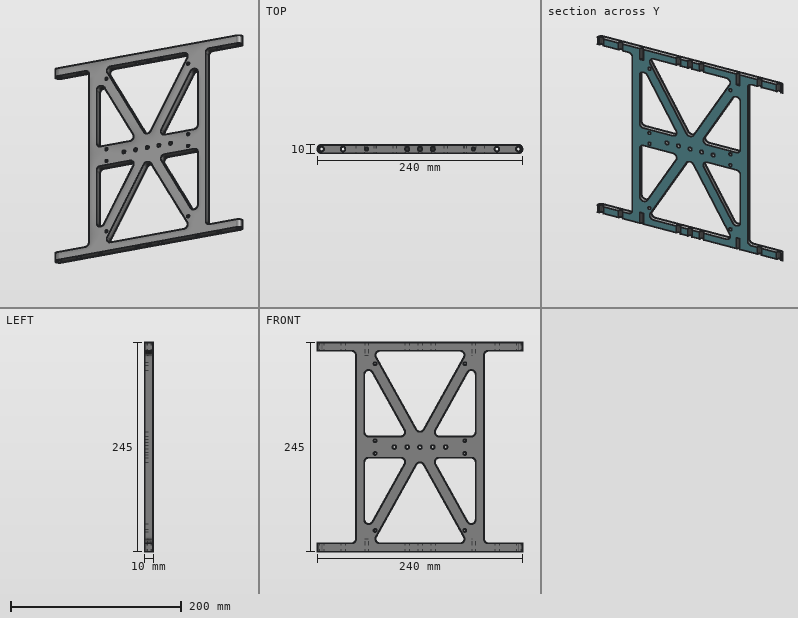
import cadquery as cq
import math

LENGTH = 240.0
THICKNESS = 10.0
HEIGHT = 245.0
BODY_WIDTH = 150.0
RAIL = 10.0
CROSS_BAND = 25.0
STRUT_WIDTH = 12.36
STRUT_END_X = 62.5
FILLET = 5.0

CENTRE_HOLE_DIAMETER = 4.13
CENTRE_HOLE_PITCH = 15.0
CENTRE_HOLE_COUNT = 5
MOUNT_HOLE_DIAMETER = 3.24
MOUNT_HOLE_X = 52.5
MOUNT_HOLE_Z = (7.5, 97.5)

ARM_HOLE_DIAMETER = 5.2
ARM_HOLE_X = (-90.0, -15.0, 0.0, 15.0, 90.0)
BLIND_HOLE_X = STRUT_END_X
BLIND_HOLE_DIAMETER = 4.0
BLIND_HOLE_DEPTH = 15.0

HALF_LENGTH = LENGTH / 2
HALF_HEIGHT = HEIGHT / 2
HALF_BODY = BODY_WIDTH / 2
HALF_BAND = CROSS_BAND / 2
END_RADIUS = THICKNESS / 2
END_CENTRE_X = HALF_LENGTH - END_RADIUS
ARM_INNER_Z = HALF_HEIGHT - RAIL
WINDOW_SIDE_X = HALF_BODY - RAIL
STRUT_SLOPE = ARM_INNER_Z / STRUT_END_X
STRUT_EDGE_OFFSET = STRUT_WIDTH / 2 * math.hypot(1, STRUT_SLOPE)


def make_frame():
    """Solid body with a round-ended arm along its top and bottom, filleted where they meet."""
    frame = cq.Workplane("XY").box(BODY_WIDTH, THICKNESS, 2 * ARM_INNER_Z)
    for side in (1, -1):
        start = cq.Workplane("XY", origin=(0, 0, side * ARM_INNER_Z))
        arm = start.slot2D(LENGTH, THICKNESS).extrude(side * RAIL)
        frame = frame.union(arm)
    body_zone = cq.selectors.BoxSelector(
        (-HALF_BODY - FILLET, -THICKNESS, -HALF_HEIGHT),
        (HALF_BODY + FILLET, THICKNESS, HALF_HEIGHT),
    )
    return frame.edges("|Y").edges(body_zone).fillet(FILLET)


def window(corners):
    """Triangular cutter through the thickness with rounded corners."""
    cutter = cq.Workplane("XZ").polyline(corners).close().extrude(THICKNESS, both=True)
    return cutter.edges("|Y").fillet(FILLET)


def cut_windows(part):
    """Three triangular openings in each half, leaving crossed struts between them."""
    arm_corner_x = (ARM_INNER_Z - STRUT_EDGE_OFFSET) / STRUT_SLOPE
    band_corner_x = (HALF_BAND + STRUT_EDGE_OFFSET) / STRUT_SLOPE
    side_corner_z = WINDOW_SIDE_X * STRUT_SLOPE - STRUT_EDGE_OFFSET
    arm_window = window([
        (0, STRUT_EDGE_OFFSET),
        (arm_corner_x, ARM_INNER_Z),
        (-arm_corner_x, ARM_INNER_Z),
    ])
    side_window = window([
        (band_corner_x, HALF_BAND),
        (WINDOW_SIDE_X, HALF_BAND),
        (WINDOW_SIDE_X, side_corner_z),
    ])
    upper_half = arm_window.union(side_window).union(side_window.mirror("YZ"))
    return part.cut(upper_half).cut(upper_half.mirror("XY"))


def cut_face_holes(part):
    """Row of holes along the middle band and eight mounting holes, all through."""
    face = cq.Workplane("XZ")
    centre_holes = (
        face.rarray(CENTRE_HOLE_PITCH, 1, CENTRE_HOLE_COUNT, 1)
        .circle(CENTRE_HOLE_DIAMETER / 2)
        .extrude(THICKNESS, both=True)
    )
    part = part.cut(centre_holes)
    for z in MOUNT_HOLE_Z:
        mount_holes = (
            face.rarray(2 * MOUNT_HOLE_X, 2 * z, 2, 2)
            .circle(MOUNT_HOLE_DIAMETER / 2)
            .extrude(THICKNESS, both=True)
        )
        part = part.cut(mount_holes)
    return part


def cut_arm_holes(part):
    """Vertical holes: clear through both arms, and blind into the strut ends."""
    through_points = [(x, 0) for x in (-END_CENTRE_X, *ARM_HOLE_X, END_CENTRE_X)]
    blind_points = [(x, 0) for x in (-BLIND_HOLE_X, BLIND_HOLE_X)]
    top = cq.Workplane("XY", origin=(0, 0, HALF_HEIGHT))
    through = top.pushPoints(through_points).circle(ARM_HOLE_DIAMETER / 2).extrude(-RAIL)
    blind = top.pushPoints(blind_points).circle(BLIND_HOLE_DIAMETER / 2).extrude(-BLIND_HOLE_DEPTH)
    upper_half = through.union(blind)
    return part.cut(upper_half).cut(upper_half.mirror("XY"))


result = cut_arm_holes(cut_face_holes(cut_windows(make_frame())))